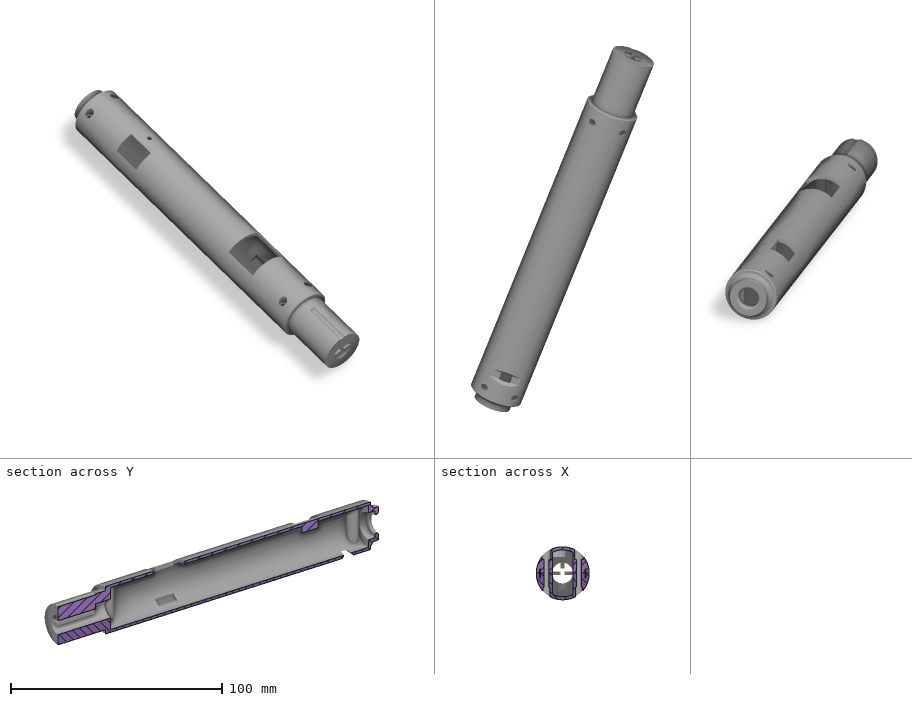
import cadquery as cq
import math

LENGTH = 187.5
BARREL_DIA = 25.3
BARREL_START = 4.7
BARREL_END = 160.0
BARREL_CHAMFER = 0.4

NOSE_DIA = 17.8
NOSE_LENGTH = 3.0
SHOULDER_DIA = 22.0
STUB_DIA = 20.8

BORE_DIA = 9.8
BORE_MOUTH_FILLET = 1.1
NOSE_HOLLOW_DIA = 14.0
NOSE_HOLLOW_START = 2.2
CAVITY_DIA = 22.0
CAVITY_START = 6.0
CAVITY_END = 156.5

SCREW_X = (9.5, 152.8)
SCREW_Y = 7.7
SCREW_POST_DIA = 6.0
SCREW_HOLE_DIA = 2.0
SCREW_HEAD_DIA = 4.0
SCREW_HEAD_SEAT_Z = 6.5
SCREW_EXIT_DIA = 3.2
SCREW_EXIT_TOP_Z = -6.5

SIDE_WINDOW_START = 33.0
SIDE_WINDOW_LENGTH = 14.6
SIDE_WINDOW_INNER_Y = -1.5
SIDE_WINDOW_OUTER_Y = -10.5
BOSS_DIA = 12.2
BOSS_X = 40.1
BOSS_Y = 3.8
BOSS_BOTTOM_Z = 7.5
BOSS_HOLE_DIA = 2.5

TOP_WINDOW_START = 113.8
TOP_WINDOW_LENGTH = 17.8
TOP_WINDOW_WIDTH = 17.5
POCKET_LENGTH = 11.0
POCKET_WIDTH = 16.3
POCKET_LEDGE_Y = 4.22
POCKET_FILLET = 1.3

CROSS_GROOVE_X = 18.0
CROSS_GROOVE_DEPTH = 2.0
CROSS_GROOVE_MOUTH = 6.4
CROSS_GROOVE_FLOOR = 3.4

STUB_GROOVE_LENGTH = 22.1
STUB_GROOVE_DEPTH = 0.5
STUB_GROOVE_MOUTH = 2.8
STUB_GROOVE_FLOOR = 1.9
RIB_THICKNESS = 1.7
SIDE_RIB_GAP = 1.9
TOP_RIB_BOTTOM_Z = 2.2

BARREL_RADIUS = BARREL_DIA / 2
STUB_RADIUS = STUB_DIA / 2
BORE_RADIUS = BORE_DIA / 2
CAVITY_RADIUS = CAVITY_DIA / 2
MID_WALL_DIA = (BARREL_DIA + CAVITY_DIA) / 2
STUB_GROOVE_START = LENGTH - STUB_GROOVE_LENGTH
SCREW_PLACES = [(x, y) for x in SCREW_X for y in (-SCREW_Y, SCREW_Y)]


def block(x_range, y_range, z_range):
    """Box between the given limits on each axis."""
    sizes = [high - low for low, high in (x_range, y_range, z_range)]
    corner = (x_range[0], y_range[0], z_range[0])
    return cq.Workplane("XY").box(*sizes, centered=False).translate(corner)


def x_cylinder(diameter, start, end):
    """Cylinder along the barrel axis."""
    return cq.Workplane("YZ", origin=(start, 0, 0)).circle(diameter / 2).extrude(end - start)


def z_cylinder(diameter, x, y, bottom, top):
    """Vertical cylinder."""
    return cq.Workplane("XY", origin=(x, y, bottom)).circle(diameter / 2).extrude(top - bottom)


def groove_outline(center, surface, floor, mouth_width, floor_width):
    """Corner points of a groove that narrows from its mouth to its floor."""
    return [
        (center - mouth_width / 2, surface),
        (center - floor_width / 2, floor),
        (center + floor_width / 2, floor),
        (center + mouth_width / 2, surface),
    ]


def solid_barrel():
    """Nose, conical shoulder, barrel with chamfered ends, and stub."""
    profile = [
        (0, 0),
        (0, NOSE_DIA / 2),
        (NOSE_LENGTH, NOSE_DIA / 2),
        (BARREL_START, SHOULDER_DIA / 2),
        (BARREL_START, BARREL_RADIUS - BARREL_CHAMFER),
        (BARREL_START + BARREL_CHAMFER, BARREL_RADIUS),
        (BARREL_END - BARREL_CHAMFER, BARREL_RADIUS),
        (BARREL_END, BARREL_RADIUS - BARREL_CHAMFER),
        (BARREL_END, STUB_RADIUS),
        (LENGTH, STUB_RADIUS),
        (LENGTH, 0),
    ]
    return cq.Workplane("XY").polyline(profile).close().revolve(360, (0, 0, 0), (1, 0, 0))


def hollow_barrel():
    """Barrel with its bore, rounded bore mouth, cavity and screw posts."""
    barrel = solid_barrel().cut(x_cylinder(BORE_DIA, 0, LENGTH))
    mouth_edge = cq.selectors.RadiusNthSelector(0)
    barrel = barrel.faces("<X").edges("%CIRCLE").edges(mouth_edge).fillet(BORE_MOUTH_FILLET)
    barrel = barrel.cut(x_cylinder(NOSE_HOLLOW_DIA, NOSE_HOLLOW_START, CAVITY_START))
    barrel = barrel.cut(x_cylinder(CAVITY_DIA, CAVITY_START, CAVITY_END))

    post_limit = x_cylinder(MID_WALL_DIA, CAVITY_START, CAVITY_END)
    for x, y in SCREW_PLACES:
        post = z_cylinder(SCREW_POST_DIA, x, y, -BARREL_RADIUS, BARREL_RADIUS)
        barrel = barrel.union(post.intersect(post_limit))
    for x, y in SCREW_PLACES:
        barrel = barrel.cut(z_cylinder(SCREW_HOLE_DIA, x, y, -BARREL_RADIUS, BARREL_RADIUS))
    return barrel


def half_shell(z_range):
    """Part of the hollow barrel between two heights."""
    return hollow_barrel().intersect(block((0, LENGTH), (-BARREL_RADIUS, BARREL_RADIUS), z_range))


def roof_boss():
    boss = z_cylinder(BOSS_DIA, BOSS_X, BOSS_Y, BOSS_BOTTOM_Z, BARREL_RADIUS)
    return boss.intersect(x_cylinder(MID_WALL_DIA, CAVITY_START, CAVITY_END))


def side_window():
    x_range = (SIDE_WINDOW_START, SIDE_WINDOW_START + SIDE_WINDOW_LENGTH)
    return block(x_range, (SIDE_WINDOW_OUTER_Y, SIDE_WINDOW_INNER_Y), (0, BARREL_RADIUS))


def top_window():
    x_range = (TOP_WINDOW_START, TOP_WINDOW_START + TOP_WINDOW_LENGTH)
    return block(x_range, (-TOP_WINDOW_WIDTH / 2, TOP_WINDOW_WIDTH / 2), (0, BARREL_RADIUS))


def stub_groove():
    outline = groove_outline(
        0, STUB_RADIUS, STUB_RADIUS - STUB_GROOVE_DEPTH, STUB_GROOVE_MOUTH, STUB_GROOVE_FLOOR
    )
    plane = cq.Workplane("YZ", origin=(STUB_GROOVE_START, 0, 0))
    return plane.polyline(outline).close().extrude(STUB_GROOVE_LENGTH)


def top_rib():
    """Rib hanging into the stub bore from its top; it is sunk a little into the wall."""
    sunk_top = (BORE_RADIUS + STUB_RADIUS) / 2
    half = RIB_THICKNESS / 2
    return block((STUB_GROOVE_START, LENGTH), (-half, half), (TOP_RIB_BOTTOM_Z, sunk_top))


def side_ribs():
    """Ribs from both sides of the stub bore, reaching towards the axis on the parting plane."""
    half = RIB_THICKNESS / 2
    x_range = (STUB_GROOVE_START, LENGTH)
    bar = block(x_range, (-BORE_RADIUS, BORE_RADIUS), (-half, half))
    gap = block(x_range, (-SIDE_RIB_GAP / 2, SIDE_RIB_GAP / 2), (-half, half))
    return bar.cut(gap).intersect(x_cylinder(BORE_DIA, *x_range))


def cross_groove():
    outline = groove_outline(
        CROSS_GROOVE_X,
        -BARREL_RADIUS,
        -BARREL_RADIUS + CROSS_GROOVE_DEPTH,
        CROSS_GROOVE_MOUTH,
        CROSS_GROOVE_FLOOR,
    )
    return cq.Workplane("XZ").polyline(outline).close().extrude(BARREL_RADIUS, both=True)


def ledge_pocket():
    """Pocket whose flat floor meets the round cavity wall at the inner ledge edges."""
    floor_z = -math.sqrt(CAVITY_RADIUS**2 - POCKET_LEDGE_Y**2)
    x_range = (TOP_WINDOW_START, TOP_WINDOW_START + POCKET_LENGTH)
    pocket = block(x_range, (-POCKET_WIDTH / 2, POCKET_WIDTH / 2), (floor_z, 0))
    return pocket.edges("|X and <Z").fillet(POCKET_FILLET)


def upper_half():
    shell = half_shell((0, BARREL_RADIUS)).union(roof_boss())
    shell = shell.cut(z_cylinder(BOSS_HOLE_DIA, BOSS_X, BOSS_Y, 0, BARREL_RADIUS))
    shell = shell.cut(side_window()).cut(top_window()).cut(stub_groove())
    for x, y in SCREW_PLACES:
        shell = shell.cut(z_cylinder(SCREW_HEAD_DIA, x, y, SCREW_HEAD_SEAT_Z, BARREL_RADIUS))
    return shell.union(top_rib())


def lower_half():
    shell = half_shell((-BARREL_RADIUS, 0)).cut(cross_groove()).cut(ledge_pocket())
    for x, y in SCREW_PLACES:
        shell = shell.cut(z_cylinder(SCREW_EXIT_DIA, x, y, -BARREL_RADIUS, SCREW_EXIT_TOP_Z))
    return shell.union(side_ribs())


upper = upper_half()
lower = lower_half()
result = cq.Compound.makeCompound([upper.solids().val(), lower.solids().val()])